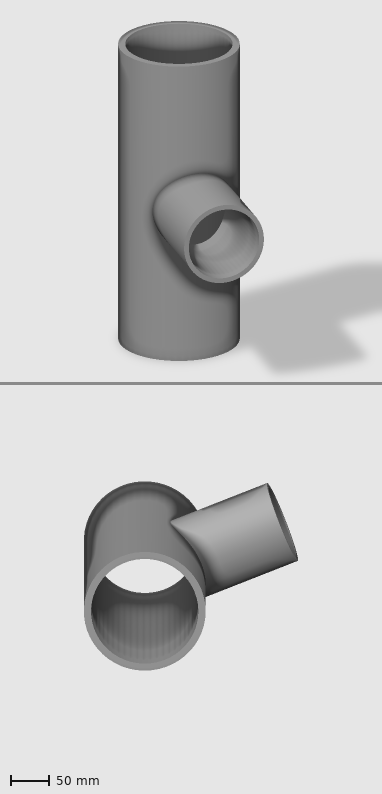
import cadquery as cq

run_diameter = 160.0
run_wall = 9.5
run_length = 417.0

branch_diameter = 110.0
branch_reach = 195.0
branch_wall = run_wall * branch_diameter / run_diameter


def run_cylinder(diameter):
    """Vertical cylinder over the full run, centred on the origin."""
    return cq.Workplane("XY").circle(diameter / 2).extrude(run_length / 2, both=True)


def branch_cylinder(diameter):
    """Horizontal cylinder from the run axis to the open end of the branch."""
    return cq.Workplane("YZ").circle(diameter / 2).extrude(branch_reach)


outer_body = run_cylinder(run_diameter).union(branch_cylinder(branch_diameter))
run_bore = run_cylinder(run_diameter - 2 * run_wall)
branch_bore = branch_cylinder(branch_diameter - 2 * branch_wall)

result = outer_body.cut(run_bore).cut(branch_bore)